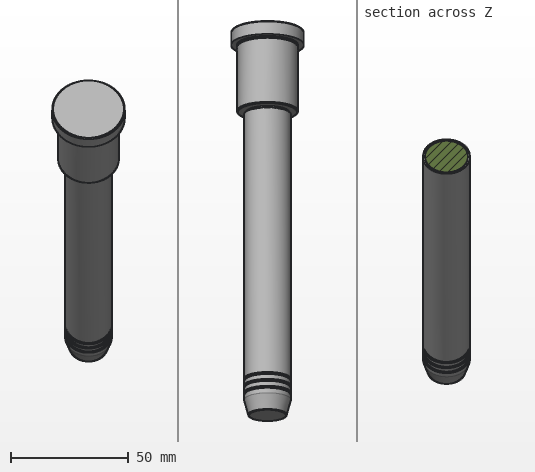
import cadquery as cq
import math

length = 171
head_diameter = 31.0
body_diameter = 26.0
shank_diameter = 20.0

head_bottom = length - 6.0
body_bottom = length - 35.9
taper_top = 7.0

head_chamfer = 0.5
body_chamfer = 0.5
tip_chamfer = 0.3

relief_width = 1.0
head_relief_depth = 0.5
body_relief_depth = 0.9

ring_count = 3
ring_pitch = 3.0
ring_width = 1.0
ring_depth = 0.5
lowest_ring_center = 9.5

taper_angle = 15
tip_diameter = shank_diameter - 2 * taper_top * math.tan(math.radians(taper_angle))


def cylinder(diameter, bottom, top):
    """Cylinder on the Z axis between two heights."""
    return cq.Workplane("XY").workplane(offset=bottom).circle(diameter / 2).extrude(top - bottom)


def groove(diameter, depth, bottom, width):
    """Ring that cuts a square groove into a cylinder of the given diameter."""
    outer = cylinder(diameter + 2 * depth, bottom, bottom + width)
    inner = cylinder(diameter - 2 * depth, bottom, bottom + width)
    return outer.cut(inner)


def v_groove(diameter, depth, bottom, width):
    """Ring that cuts a symmetric V groove into a cylinder of the given diameter."""
    radius = diameter / 2
    return (
        cq.Workplane("XZ")
        .moveTo(radius, bottom)
        .lineTo(radius - depth, bottom + width / 2)
        .lineTo(radius, bottom + width)
        .close()
        .revolve(360, (0, 0), (0, 1))
    )


head = cylinder(head_diameter, head_bottom, length).faces(">Z").chamfer(head_chamfer)
body = cylinder(body_diameter, body_bottom, head_bottom).faces("<Z").chamfer(body_chamfer)
body = body.cut(v_groove(body_diameter, head_relief_depth, head_bottom - relief_width, relief_width))

shank = cylinder(shank_diameter, taper_top, body_bottom)
shank = shank.cut(groove(shank_diameter, body_relief_depth, body_bottom - relief_width, relief_width))
for i in range(ring_count):
    ring_bottom = lowest_ring_center + i * ring_pitch - ring_width / 2
    shank = shank.cut(v_groove(shank_diameter, ring_depth, ring_bottom, ring_width))

tip = (
    cq.Workplane("XY")
    .circle(tip_diameter / 2)
    .workplane(offset=taper_top)
    .circle(shank_diameter / 2)
    .loft(ruled=True)
    .faces("<Z")
    .chamfer(tip_chamfer)
)

result = head.union(body).union(shank).union(tip)